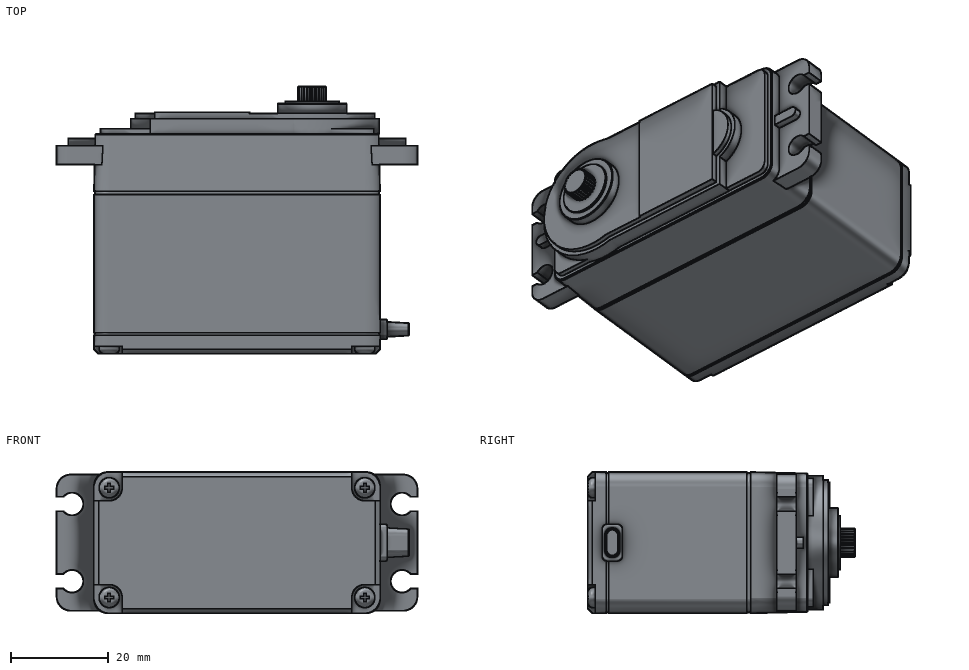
import cadquery as cq
import math


CASE_LENGTH = 58.7
CASE_HALF_X = CASE_LENGTH / 2
CASE_HALF_Z = 14.5
CASE_RADIUS = 2.95
BACK_CHAMFER = 0.95

BACK_SEAL = (3.8, 4.3)
FRONT_SEAL = (32.6, 33.4)
CASE_TOP = 45.15
PAD_TOP = 46.2
TIER_TOP = 48.25
PLATE_TOP = 49.3
RAISED_TOP = 49.6
BOSS_TOP = 51.35
BEARING_TOP = 51.8
SHAFT_TOP = 54.8

FRONT_RADIUS = 3.1
DRAFT_INSET = 0.3
CASE_TOP_CHAMFER = 0.2

SEAL_INSET = 0.4
SEAL_BULGE = 0.2

FLANGE_HALF_X = 37.0
FLANGE_HALF_Z = 14.0
FLANGE_RADIUS = 2.95
FLANGE_BOTTOM = 38.8
FLANGE_TOP = 42.7
HOLE_X = 33.8
HOLE_Z = 7.9
HOLE_RADIUS = 2.3
SLOT_WIDTH = 2.9
RIB_END_X = 34.6
RIB_WIDTH = 2.3
RIB_TOP = 44.2

SHAFT_X = 15.4
PAD_INSET = 1.3
TIER_RADIUS = 13.8
TIER_HALF_Z = 13.25
TIER_LEFT_X = -17.75
TIER_LUG_RADIUS = 6.2
TIER_LUG_END_X = -21.8
PLATE_RADIUS = 12.9
PLATE_HALF_Z = 12.35
PLATE_LEFT_X = -16.9
PLATE_LUG_RADIUS = 5.6
PLATE_LUG_END_X = -20.9
RAISED_RIGHT_X = 2.6

BOSS_RADIUS = 7.1
BOSS_CHAMFER = 0.15
BEARING_RADIUS = 5.55
SPLINE_RADIUS = 2.95
SPLINE_DEPTH = 0.3
SPLINE_TEETH = 25
SHAFT_CHAMFER = 0.2

BOOT_Y = 5.0
BOOT_ROOT_X = 25.9
BOOT_FLANGE_HALF_Z = 3.8
BOOT_FLANGE_HALF_Y = 2.1
BOOT_FLANGE_RADIUS = 1.0
BOOT_FLANGE_END_X = 30.8
BOOT_FLANGE_FILLET = 0.4
BOOT_HALF_Z = 3.0
BOOT_HALF_Y = 1.55
BOOT_END_X = 35.3
BOOT_TAPER = 3.3
BOOT_CHAMFER = 0.15

SCREW_X = 26.2
SCREW_Z = 11.25
RECESS_FLOOR = 1.55
RECESS_RADIUS = 2.7
HEAD_RADIUS = 2.1
HEAD_FILLET = 1.0
CROSS_LENGTH = 1.8
CROSS_WIDTH = 0.5
CROSS_DEPTH = 0.75

SIDES = (-1, 1)


def level(y):
    """Workplane at height y facing +Y; its second axis is -Z."""
    return cq.Workplane(cq.Plane(origin=(0, y, 0), xDir=(1, 0, 0), normal=(0, 1, 0)))


def case_layer(bottom, top, inset=0.0, radius=CASE_RADIUS, taper=0.0):
    """Slab with the rounded case outline, moved inwards by inset."""
    outline = cq.Sketch().rect(2 * (CASE_HALF_X - inset), 2 * (CASE_HALF_Z - inset))
    outline = outline.vertices().fillet(radius - inset)
    return level(bottom).placeSketch(outline).extrude(top - bottom, taper=taper)


def seal(bottom, top):
    """Slab between two case sections whose rim bulges outwards in a shallow arc."""
    core = case_layer(bottom, top, SEAL_INSET)
    path = cq.Workplane(core.faces(">Y").wires().val())
    rim_x = CASE_HALF_X - SEAL_INSET
    root_x = rim_x - SEAL_INSET
    bulge = (
        cq.Workplane("XY")
        .moveTo(rim_x, top)
        .threePointArc((rim_x + SEAL_BULGE, (bottom + top) / 2), (rim_x, bottom))
        .lineTo(root_x, bottom)
        .lineTo(root_x, top)
        .close()
        .sweep(path)
    )
    return core.union(bulge)


def case_body():
    back = case_layer(0, BACK_SEAL[0]).faces("<Y").edges().chamfer(BACK_CHAMFER)
    middle = case_layer(BACK_SEAL[1], FRONT_SEAL[0])
    draft = math.degrees(math.atan(DRAFT_INSET / (CASE_TOP - FRONT_SEAL[1])))
    front = case_layer(FRONT_SEAL[1], CASE_TOP, radius=FRONT_RADIUS, taper=draft)
    front = front.faces(">Y").edges().chamfer(CASE_TOP_CHAMFER)
    body = back.union(seal(*BACK_SEAL)).union(middle)
    return body.union(seal(*FRONT_SEAL)).union(front)


def mounting_flanges():
    plate = (
        level(FLANGE_BOTTOM)
        .rect(2 * FLANGE_HALF_X, 2 * FLANGE_HALF_Z)
        .extrude(FLANGE_TOP - FLANGE_BOTTOM)
        .edges("|Y")
        .fillet(FLANGE_RADIUS)
    )
    hole_places = [(sx * HOLE_X, sz * HOLE_Z) for sx in SIDES for sz in SIDES]
    mouth_places = [(sx * FLANGE_HALF_X, sz * HOLE_Z) for sx in SIDES for sz in SIDES]
    mouth_length = 2 * (FLANGE_HALF_X - HOLE_X)
    holes = level(FLANGE_BOTTOM).pushPoints(hole_places).circle(HOLE_RADIUS)
    mouths = level(FLANGE_BOTTOM).pushPoints(mouth_places).rect(mouth_length, SLOT_WIDTH)
    height = FLANGE_TOP - FLANGE_BOTTOM
    plate = plate.cut(holes.extrude(height)).cut(mouths.extrude(height))
    rib = level(FLANGE_TOP).slot2D(2 * RIB_END_X, RIB_WIDTH).extrude(RIB_TOP - FLANGE_TOP)
    return plate.union(rib)


def stepped_slab(bottom, top, radius, half_z, left_x, lug_radius, lug_end_x):
    """Slab rounded about the shaft, with straight sides and a round lug at its -X end."""
    tangent_x = SHAFT_X - math.sqrt(radius**2 - half_z**2)
    slab = (
        level(bottom)
        .moveTo(left_x, -half_z)
        .lineTo(tangent_x, -half_z)
        .threePointArc((SHAFT_X + radius, 0), (tangent_x, half_z))
        .lineTo(left_x, half_z)
        .close()
        .extrude(top - bottom)
    )
    lug = (
        level(bottom)
        .moveTo(left_x, -lug_radius)
        .threePointArc((lug_end_x, 0), (left_x, lug_radius))
        .close()
        .extrude(top - bottom)
    )
    return slab.union(lug)


def case_top():
    pads = case_layer(CASE_TOP, PAD_TOP, PAD_INSET, FRONT_RADIUS)
    tier = stepped_slab(
        CASE_TOP, TIER_TOP, TIER_RADIUS, TIER_HALF_Z, TIER_LEFT_X, TIER_LUG_RADIUS, TIER_LUG_END_X
    )
    plate = stepped_slab(
        TIER_TOP, PLATE_TOP, PLATE_RADIUS, PLATE_HALF_Z, PLATE_LEFT_X, PLATE_LUG_RADIUS, PLATE_LUG_END_X
    )
    raised_length = RAISED_RIGHT_X - PLATE_LEFT_X
    raised = (
        level(PLATE_TOP)
        .center(PLATE_LEFT_X + raised_length / 2, 0)
        .rect(raised_length, 2 * PLATE_HALF_Z)
        .extrude(RAISED_TOP - PLATE_TOP)
    )
    return pads.union(tier).union(plate).union(raised)


def spline_outline():
    """Corners of the toothed shaft outline, alternating between tooth root and tooth tip."""
    points = []
    for corner in range(2 * SPLINE_TEETH):
        angle = math.pi * corner / SPLINE_TEETH
        radius = SPLINE_RADIUS if corner % 2 else SPLINE_RADIUS - SPLINE_DEPTH
        points.append((SHAFT_X + radius * math.cos(angle), radius * math.sin(angle)))
    return points


def shaft_cylinder(bottom, top, radius):
    return level(bottom).center(SHAFT_X, 0).circle(radius).extrude(top - bottom)


def output_shaft():
    boss = shaft_cylinder(PLATE_TOP, BOSS_TOP, BOSS_RADIUS).faces(">Y").edges().chamfer(BOSS_CHAMFER)
    bearing = shaft_cylinder(BOSS_TOP, BEARING_TOP, BEARING_RADIUS)
    spline = level(BEARING_TOP).polyline(spline_outline()).close().extrude(SHAFT_TOP - BEARING_TOP)
    envelope = shaft_cylinder(BEARING_TOP, SHAFT_TOP, SPLINE_RADIUS)
    envelope = envelope.faces(">Y").edges().chamfer(SHAFT_CHAMFER)
    return boss.union(bearing).union(spline.intersect(envelope))


def cable_boot():
    def side_plane(x):
        return cq.Workplane("YZ", origin=(x, BOOT_Y, 0))

    flange = (
        side_plane(BOOT_ROOT_X)
        .rect(2 * BOOT_FLANGE_HALF_Y, 2 * BOOT_FLANGE_HALF_Z)
        .extrude(BOOT_FLANGE_END_X - BOOT_ROOT_X)
        .edges("|X")
        .fillet(BOOT_FLANGE_RADIUS)
        .faces(">X")
        .edges()
        .fillet(BOOT_FLANGE_FILLET)
    )
    neck = (
        side_plane(BOOT_FLANGE_END_X)
        .slot2D(2 * BOOT_HALF_Z, 2 * BOOT_HALF_Y, 90)
        .extrude(BOOT_END_X - BOOT_FLANGE_END_X, taper=BOOT_TAPER)
        .faces(">X")
        .edges()
        .chamfer(BOOT_CHAMFER)
    )
    return flange.union(neck)


def corner_recess(side_x, side_z):
    """Cutter for one screw corner, rounded about the screw axis."""
    reach_x = CASE_HALF_X - SCREW_X + RECESS_RADIUS
    reach_z = CASE_HALF_Z - SCREW_Z + RECESS_RADIUS
    block = (
        level(0)
        .center(side_x * (CASE_HALF_X - reach_x / 2), -side_z * (CASE_HALF_Z - reach_z / 2))
        .rect(reach_x, reach_z)
        .extrude(RECESS_FLOOR)
    )
    inner = ("<X" if side_x > 0 else ">X") + " and " + ("<Z" if side_z > 0 else ">Z")
    return block.edges("|Y").edges(inner).fillet(RECESS_RADIUS)


def make_housing():
    housing = case_body().union(mounting_flanges()).union(case_top())
    housing = housing.union(output_shaft()).union(cable_boot())
    for side_x in SIDES:
        for side_z in SIDES:
            housing = housing.cut(corner_recess(side_x, side_z))
    return housing


def make_screw(x, z):
    """Round screw head with a cross recess, standing on the recess floor."""
    head = level(0).circle(HEAD_RADIUS).extrude(RECESS_FLOOR).faces("<Y").edges().fillet(HEAD_FILLET)
    arm_x = level(0).rect(CROSS_LENGTH, CROSS_WIDTH).extrude(CROSS_DEPTH)
    arm_z = level(0).rect(CROSS_WIDTH, CROSS_LENGTH).extrude(CROSS_DEPTH)
    return head.cut(arm_x).cut(arm_z).translate((x, 0, z))


housing = make_housing()
screws = [make_screw(sx * SCREW_X, sz * SCREW_Z) for sx in SIDES for sz in SIDES]

result = cq.Compound.makeCompound([housing.solids().val(), *[screw.solids().val() for screw in screws]])